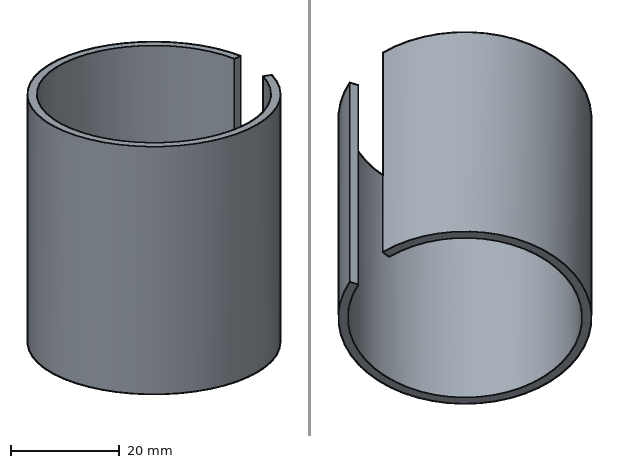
import cadquery as cq
import math

height = 50.0
outer_radius = 23.25
wall = 1.75
gap_angle = 25.0

inner_radius = outer_radius - wall
half_gap = math.radians(gap_angle / 2)


def gap_edge_point(radius, side):
    """Point on the gap edge at a radius; side is +1 for +X, -1 for -X."""
    return (side * radius * math.sin(half_gap), radius * math.cos(half_gap))


result = (
    cq.Workplane("XY")
    .moveTo(*gap_edge_point(outer_radius, 1))
    .threePointArc((0, -outer_radius), gap_edge_point(outer_radius, -1))
    .lineTo(*gap_edge_point(inner_radius, -1))
    .threePointArc((0, -inner_radius), gap_edge_point(inner_radius, 1))
    .close()
    .extrude(height)
)